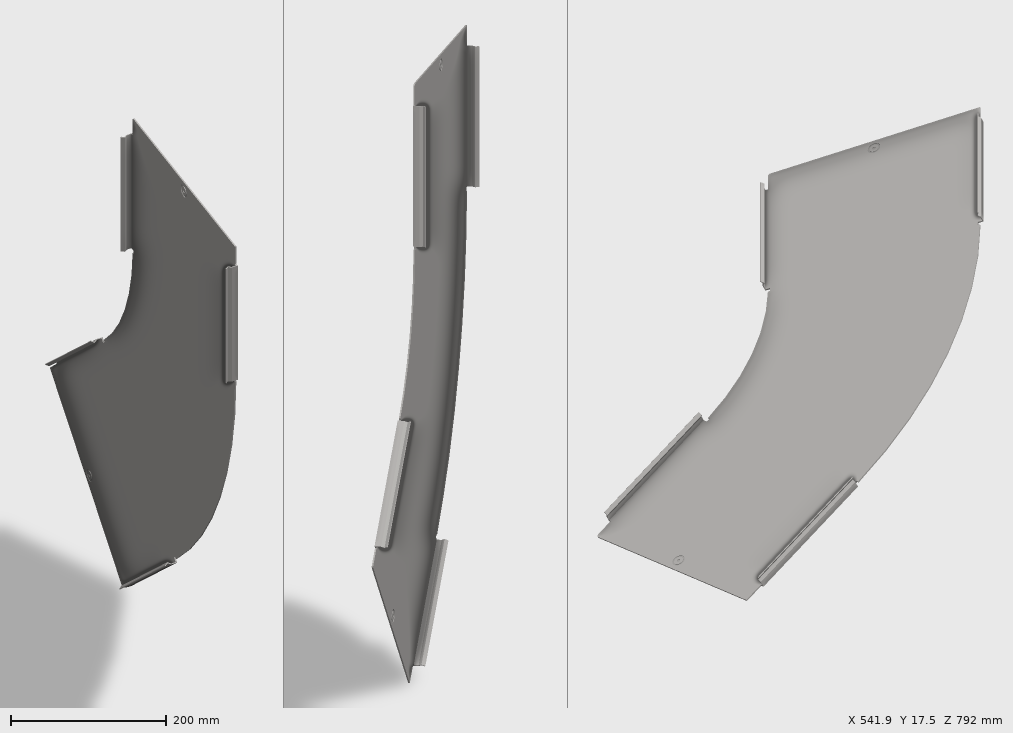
import cadquery as cq
import math


height = 792.0
bend_angle = 45.0
inner_radius = 300.0
width = 298.0
thickness = 2.0
inner_corner_radius = 3.0

bend = math.radians(bend_angle)
outer_radius = inner_radius + width
leg = (height - outer_radius * math.sin(bend)) / (1 + math.cos(bend))
mid_radius = inner_radius + width / 2

flange_setback = 28.5
flange_overhang = 4.35
flange_sheet = 1.2
flange_depth = 17.5
hook_reach = 2.8
hook_rise = 4.0
flange_length = leg - flange_setback

relief_depth = 3.0
relief_length = 5.5

screw_setback = 14.0
screw_radius = 9.0
head_radius = 6.0
socket_radius = 2.0
recess_depth = 1.0


def to_far_leg(shape):
    """Carry a first-leg feature over to the second leg, across the bend bisector."""
    return shape.mirror("XY").rotate((0, 0, 0), (0, 1, 0), bend_angle)


def polar(radius, angle):
    return radius * math.cos(angle), -radius * math.sin(angle)


def leg_end(radius):
    """Free-end corner of the second leg, on the edge that has this bend radius."""
    x, z = polar(radius, bend)
    return x - leg * math.sin(bend), z - leg * math.cos(bend)


def make_plate():
    sheet = (
        cq.Workplane("XZ")
        .moveTo(inner_radius, leg)
        .lineTo(outer_radius, leg)
        .lineTo(outer_radius, 0)
        .threePointArc(polar(outer_radius, bend / 2), polar(outer_radius, bend))
        .lineTo(*leg_end(outer_radius))
        .lineTo(*leg_end(inner_radius))
        .lineTo(*polar(inner_radius, bend))
        .threePointArc(polar(inner_radius, bend / 2), (inner_radius, 0))
        .close()
        .extrude(thickness)
    )
    far_x, far_z = leg_end(inner_radius)
    for x, z in ((inner_radius, leg), (far_x, far_z)):
        corner = cq.selectors.NearestToPointSelector((x, -thickness / 2, z))
        sheet = sheet.edges("|Y").edges(corner).fillet(inner_corner_radius)
    return sheet


def make_outer_flange():
    """Tab running off the plate edge, folded forward and ending in an inward V."""
    face = outer_radius + flange_overhang
    arm_tilt = math.atan2(hook_reach, hook_rise)
    slant = flange_sheet * math.cos(arm_tilt)
    fold = flange_sheet * math.tan(arm_tilt / 2)
    apex = flange_sheet / math.cos(arm_tilt)
    tip = flange_sheet * math.sin(arm_tilt) - flange_depth
    apex_y = tip + hook_rise
    kink = apex_y + hook_rise
    return (
        cq.Workplane("XY")
        .moveTo(outer_radius - relief_depth, 0)
        .lineTo(face, 0)
        .lineTo(face, kink)
        .lineTo(face - hook_reach, apex_y)
        .lineTo(face, tip)
        .lineTo(face - slant, -flange_depth)
        .lineTo(face - hook_reach - apex, apex_y)
        .lineTo(face - flange_sheet, kink + fold)
        .lineTo(face - flange_sheet, -thickness)
        .lineTo(outer_radius - relief_depth, -thickness)
        .close()
        .extrude(flange_length)
    )


def make_outer_relief():
    return cq.Workplane("XY").box(
        2 * relief_depth, 2 * thickness, relief_length
    ).translate((outer_radius, -thickness / 2, -relief_length / 2))


def make_screw_recess():
    """Ring around the screw head and its round socket, sunk in the front face."""
    front = cq.Workplane("XZ", origin=(mid_radius, -thickness, leg - screw_setback))
    ring = front.circle(screw_radius).circle(head_radius).extrude(-recess_depth)
    socket = front.circle(socket_radius).extrude(-recess_depth)
    return ring.union(socket)


def to_inner_edge(shape):
    """Mirror an outer-edge feature across the centreline of the first leg."""
    return shape.mirror("YZ").translate((2 * mid_radius, 0, 0))


result = make_plate()

outer_flange = make_outer_flange()
outer_relief = make_outer_relief()
for place_on_edge in (lambda shape: shape, to_inner_edge):
    flange = place_on_edge(outer_flange)
    relief = place_on_edge(outer_relief)
    result = result.union(flange).union(to_far_leg(flange))
    result = result.cut(relief).cut(to_far_leg(relief))

screw_recess = make_screw_recess()
result = result.cut(screw_recess).cut(to_far_leg(screw_recess))